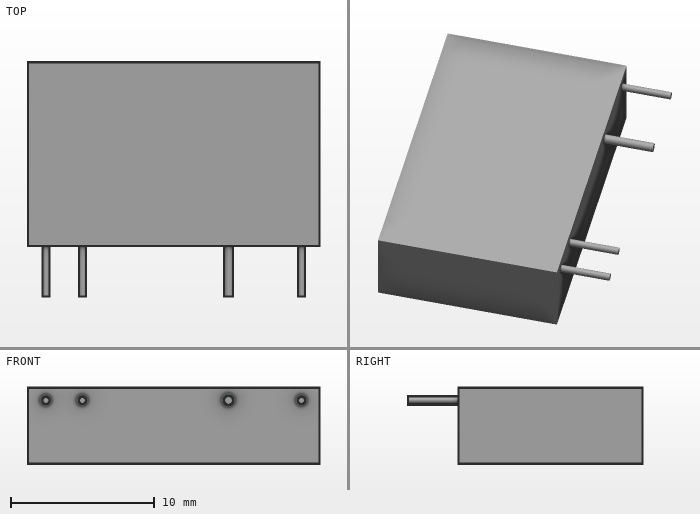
import cadquery as cq

body_length = 20.29
body_height = 5.31
overall_depth = 16.31
pin_length = 3.5
body_depth = overall_depth - pin_length

pin_pitch = 2.54
pin_diameter = 0.51
thick_pin_diameter = 0.64
pin_drop = 0.89
last_position = 7
pins = [
    (0, pin_diameter),
    (1, pin_diameter),
    (5, thick_pin_diameter),
    (last_position, pin_diameter),
]

first_pin_x = -last_position * pin_pitch / 2
pin_z = body_height - pin_drop


def make_body():
    """Plain rectangular block."""
    return cq.Workplane("XY").box(body_length, body_depth, body_height, centered=(True, False, False))


def make_pin(position, diameter):
    """Round pin standing out of the front face toward -Y."""
    x = first_pin_x + position * pin_pitch
    return cq.Workplane("XZ").center(x, pin_z).circle(diameter / 2).extrude(pin_length)


result = make_body()
for position, diameter in pins:
    result = result.union(make_pin(position, diameter))